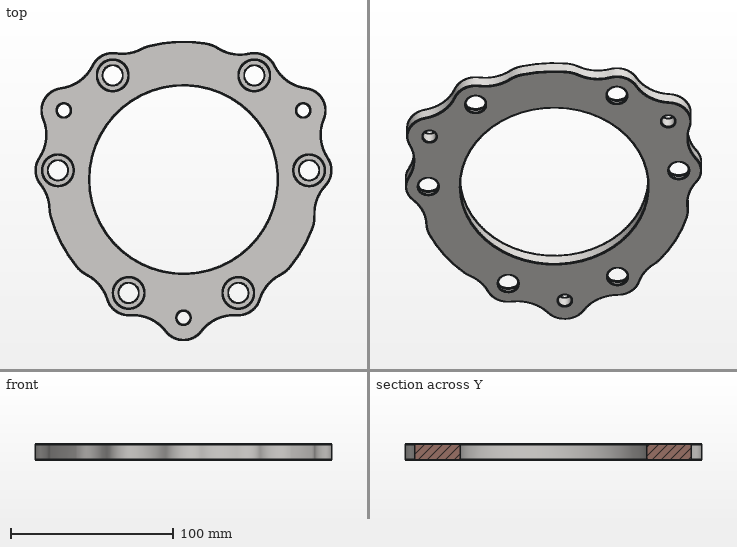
import cadquery as cq
import math

thickness = 10.0
bore_diameter = 115.5
body_radius = 85.0
edge_chamfer = 0.5

group_count = 3
first_group_angle = 30
pin_circle_radius = body_radius
pin_hole_diameter = 8.3

bolt_circle_radius = 77.5
bolt_angle_offset = 25.8
bolt_hole_diameter = 12.3
counterbore_diameter = 19.0
counterbore_depth = 7.0

lobe_radius = 14.0
hollow_radius = 25.0
blend_radius = 20.0

outer_hollow_floors = [82.8, 84.2, 82.8]

plate_center = (0, 0)


def polar(radius, angle):
    """Point at a radius and an angle in degrees around the plate centre."""
    return (radius * math.cos(math.radians(angle)), radius * math.sin(math.radians(angle)))


def rotated(point, angle):
    """Point turned by an angle in degrees around the plate centre."""
    own_angle = math.degrees(math.atan2(point[1], point[0]))
    return polar(math.hypot(*point), own_angle + angle)


def mirrored(point):
    """Point reflected across the X axis."""
    return (point[0], -point[1])


def toward(start, target, distance):
    """Point at a distance from start, on the way to target."""
    share = distance / math.dist(start, target)
    return tuple(s + share * (t - s) for s, t in zip(start, target))


def point_at_reaches(first, first_reach, second, second_reach):
    """Point at given distances from two points, right of the line from first to second."""
    span = math.dist(first, second)
    along = (span**2 + first_reach**2 - second_reach**2) / (2 * span)
    aside = math.sqrt(first_reach**2 - along**2)
    ux, uy = ((s - f) / span for f, s in zip(first, second))
    return (first[0] + along * ux + aside * uy, first[1] + along * uy - aside * ux)


def group_arcs(hollow_floor):
    """Counterclockwise arcs (centre, radius) of a three-lobe group that points along +X."""
    pin_lobe = (pin_circle_radius, 0)
    bolt_lobe = polar(bolt_circle_radius, bolt_angle_offset)
    lobe_to_hollow = lobe_radius + hollow_radius

    inner_hollow = point_at_reaches(pin_lobe, lobe_to_hollow, bolt_lobe, lobe_to_hollow)
    outer_hollow = point_at_reaches(
        bolt_lobe, lobe_to_hollow, plate_center, hollow_floor + hollow_radius
    )
    blend = point_at_reaches(
        outer_hollow, hollow_radius + blend_radius, plate_center, body_radius - blend_radius
    )
    upper_half = [
        (inner_hollow, hollow_radius),
        (bolt_lobe, lobe_radius),
        (outer_hollow, hollow_radius),
        (blend, blend_radius),
    ]
    lower_half = [(mirrored(center), radius) for center, radius in reversed(upper_half)]
    return lower_half + [(pin_lobe, lobe_radius)] + upper_half


def touch_point(arc, next_arc):
    """Point where two tangent arcs meet."""
    (small_center, _), (large_center, large_radius) = sorted((arc, next_arc), key=lambda a: a[1])
    return toward(large_center, small_center, large_radius)


def make_outline():
    """Closed wire of tangent arcs running counterclockwise around the plate."""
    arcs = []
    for group_angle, hollow_floor in zip(group_angles, outer_hollow_floors):
        for center, radius in group_arcs(hollow_floor):
            arcs.append((rotated(center, group_angle), radius))
        arcs.append((plate_center, body_radius))

    joints = [touch_point(arcs[i - 1], arcs[i]) for i in range(len(arcs))]
    arc_ends = joints[1:] + joints[:1]
    outline = cq.Workplane("XY").moveTo(*joints[0])
    for (center, radius), start, end in zip(arcs, joints, arc_ends):
        chord_middle = tuple((s + e) / 2 for s, e in zip(start, end))
        outline = outline.threePointArc(toward(center, chord_middle, radius), end)
    return outline.close()


def on_top(body):
    """Workplane on the top face, centred on the plate."""
    return body.faces(">Z").workplane(origin=plate_center)


group_angles = [first_group_angle + i * 360 / group_count for i in range(group_count)]
pin_points = [polar(pin_circle_radius, angle) for angle in group_angles]
bolt_points = [
    polar(bolt_circle_radius, angle + side * bolt_angle_offset)
    for angle in group_angles
    for side in (-1, 1)
]

plate = make_outline().extrude(thickness)
plate = on_top(plate).hole(bore_diameter)
plate = on_top(plate).pushPoints(pin_points).hole(pin_hole_diameter)
plate = on_top(plate).pushPoints(bolt_points).cboreHole(
    bolt_hole_diameter, counterbore_diameter, counterbore_depth
)

result = plate.faces(">Z or <Z").edges().chamfer(edge_chamfer)